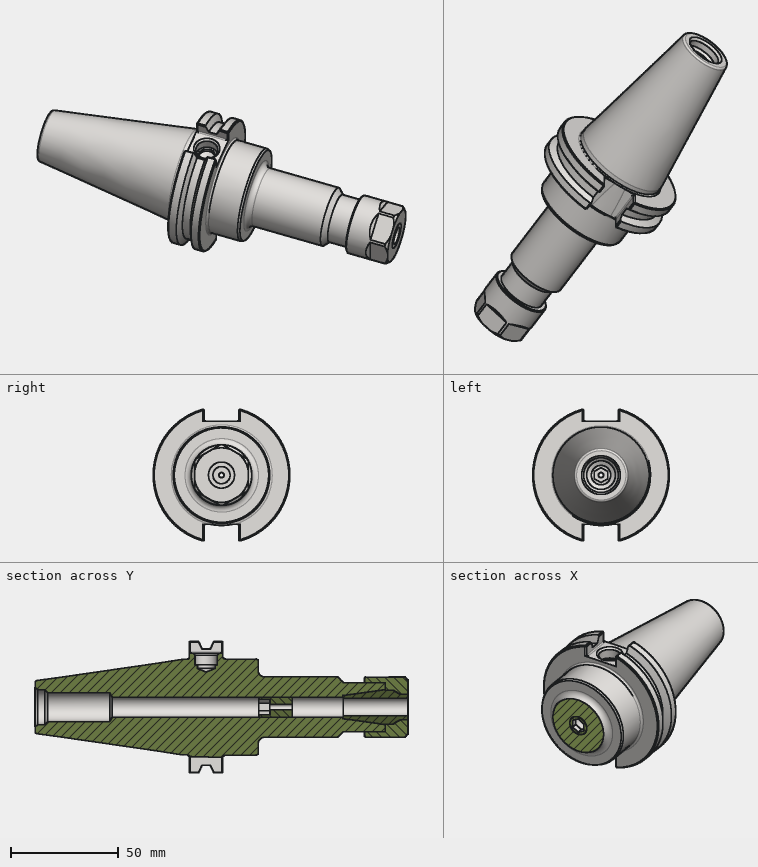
import cadquery as cq
import math

LENGTH = 172.9

GAUGE_DIAMETER = 44.6
GAUGE_X = 68.5
TAPER_RATIO = 7 / 24
SHANK_END_ROUND = 1.0
COLLAR_ROOT_FILLET = 0.7

FLANGE_X = 71.4
FLANGE_WIDTH = 15.7
FLANGE_DIAMETER = 63.5
FLANGE_BEVEL = 0.5
GROOVE_X = 79.4
GROOVE_FLOOR_DIAMETER = 56.4
GROOVE_FLOOR_WIDTH = 3.8
GROOVE_WALL_WIDTH = 1.7
SLOT_WIDTH = 16.0
SLOT_BEVEL = 0.6
SLOT_FLOOR_FILLET = 0.5
TOP_SLOT_HEIGHT = 25.0
BOTTOM_SLOT_HEIGHT = 22.8

CHIP_HOLE_DIAMETER = 10.2
CHIP_HOLE_MOUTH = 12.1
CHIP_HOLE_DEPTH = 5.5
CHIP_PILOT_DIAMETER = 8.0
CHIP_PILOT_DEPTH = 1.5
CHIP_POINT_ANGLE = 135.0

BOSS_DIAMETER = 44.8
BOSS_END_X = 103.5
BOSS_ROOT_FILLET = 1.0
BOSS_BEVEL_LENGTH = 1.0
BOSS_BEVEL_DEPTH = 0.5
BARREL_DIAMETER = 28.2
BARREL_FILLET = 3.0
BARREL_END_X = 140.4
NECK_DIAMETER = 23.0
NOSE_X = 162.5

MOUTH_DIAMETER = 18.0
THREAD_RELIEF_DIAMETER = 16.0
THREAD_DIAMETER = 13.3
MOUTH_DEPTH = 1.4
THREAD_RELIEF_DEPTH = 4.5
THREAD_START_DEPTH = 5.9
THREAD_DEPTH = 34.5
CORE_DIAMETER = 9.0
DRILL_POINT_ANGLE = 118.0

SCREW_X = 103.7
SCREW_LENGTH = 15.5
SCREW_HOLE_DIAMETER = 2.2
SOCKET_WIDTH = 6.0
SOCKET_DEPTH = 5.2

COLLET_BACK_X = 142.8
COLLET_BACK_DIAMETER = 10.5
COLLET_SEAT_DIAMETER = 16.0
COLLET_HEAD_LENGTH = 3.5
COLLET_NOSE_X = 169.5
COLLET_NOSE_DIAMETER = 12.1
COLLET_BORE = 8.0

NUT_X = 152.7
NUT_DIAMETER = 28.0
NUT_BACK_BEVEL = 0.5
NUT_FRONT_BEVEL = 1.4
HEX_WIDTH = 24.9
HEX_X = 164.3
HEX_SIDES = 6


def cone_length(wide, narrow, half_angle):
    """Length of a cone between two diameters, for an angle measured from its axis."""
    return (wide - narrow) / 2 / math.tan(math.radians(half_angle))


def turned(points):
    """Solid of revolution about X from (x, radius) points."""
    return cq.Workplane("XY").polyline(points).close().revolve(360, (0, 0, 0), (1, 0, 0))


def cylinder(x_start, x_end, diameter):
    """Solid cylinder along X."""
    return cq.Workplane("YZ", origin=(x_start, 0, 0)).circle(diameter / 2).extrude(x_end - x_start)


def make_core():
    """Taper, boss, barrel and neck as one turned shape, with its rounds drawn as arcs."""
    gauge_r = GAUGE_DIAMETER / 2
    taper_angle = math.atan(TAPER_RATIO / 2)
    small_r = gauge_r - GAUGE_X * math.tan(taper_angle)
    round_r = small_r + SHANK_END_ROUND * (math.tan(taper_angle) - 1 / math.cos(taper_angle))
    round_end_x = SHANK_END_ROUND * (1 - math.sin(taper_angle))
    round_end_r = round_r + SHANK_END_ROUND * math.cos(taper_angle)
    boss_r = BOSS_DIAMETER / 2
    barrel_r = BARREL_DIAMETER / 2
    neck_r = NECK_DIAMETER / 2
    flange_end = FLANGE_X + FLANGE_WIDTH
    profile = (
        cq.Workplane("XY")
        .lineTo(0, round_r)
        .radiusArc((round_end_x, round_end_r), SHANK_END_ROUND)
        .lineTo(GAUGE_X, gauge_r)
        .lineTo(FLANGE_X - COLLAR_ROOT_FILLET, gauge_r)
        .radiusArc((FLANGE_X, gauge_r + COLLAR_ROOT_FILLET), -COLLAR_ROOT_FILLET)
        .lineTo(flange_end, boss_r + BOSS_ROOT_FILLET)
        .radiusArc((flange_end + BOSS_ROOT_FILLET, boss_r), -BOSS_ROOT_FILLET)
        .lineTo(BOSS_END_X - BOSS_BEVEL_LENGTH, boss_r)
        .lineTo(BOSS_END_X, boss_r - BOSS_BEVEL_DEPTH)
        .lineTo(BOSS_END_X, barrel_r + BARREL_FILLET)
        .radiusArc((BOSS_END_X + BARREL_FILLET, barrel_r), -BARREL_FILLET)
        .lineTo(BARREL_END_X, barrel_r)
        .lineTo(BARREL_END_X + barrel_r - neck_r, neck_r)
        .lineTo(NOSE_X, neck_r)
        .lineTo(NOSE_X, 0)
        .close()
    )
    return profile.revolve(360, (0, 0, 0), (1, 0, 0))


def make_flange():
    """Flange disc with its groove and drive slots, the slot rims bevelled and floors filleted."""
    flange_r = FLANGE_DIAMETER / 2
    floor_r = GROOVE_FLOOR_DIAMETER / 2
    floor_half = GROOVE_FLOOR_WIDTH / 2
    rim_half = floor_half + GROOVE_WALL_WIDTH
    flange_end = FLANGE_X + FLANGE_WIDTH
    flange = turned([
        (FLANGE_X, 0),
        (FLANGE_X, flange_r - FLANGE_BEVEL),
        (FLANGE_X + FLANGE_BEVEL, flange_r),
        (GROOVE_X - rim_half, flange_r),
        (GROOVE_X - floor_half, floor_r),
        (GROOVE_X + floor_half, floor_r),
        (GROOVE_X + rim_half, flange_r),
        (flange_end - FLANGE_BEVEL, flange_r),
        (flange_end, flange_r - FLANGE_BEVEL),
        (flange_end, 0),
    ])
    for side, height in ((1, TOP_SLOT_HEIGHT), (-1, BOTTOM_SLOT_HEIGHT)):
        flange = flange.cut(make_slot(side * height, side * flange_r))
    flange = flange.newObject(slot_rim_edges(flange)).chamfer(SLOT_BEVEL)
    for height in (TOP_SLOT_HEIGHT, -BOTTOM_SLOT_HEIGHT):
        corners = cq.selectors.BoxSelector(
            (FLANGE_X, -SLOT_WIDTH, height - SLOT_FLOOR_FILLET),
            (flange_end, SLOT_WIDTH, height + SLOT_FLOOR_FILLET),
        )
        flange = flange.edges("|X").edges(corners).fillet(SLOT_FLOOR_FILLET)
    return flange


def slot_rim_edges(flange):
    """Edges of the slot walls on the flange faces and rims, without the floors and the groove."""
    rim_half = GROOVE_FLOOR_WIDTH / 2 + GROOVE_WALL_WIDTH
    rims = []
    for edge in flange.edges().vals():
        middle = edge.Center()
        on_wall = math.isclose(abs(middle.y), SLOT_WIDTH / 2)
        in_groove = abs(middle.x - GROOVE_X) < rim_half
        is_level = edge.BoundingBox().zlen < SLOT_FLOOR_FILLET
        on_floor = is_level and abs(middle.z) < TOP_SLOT_HEIGHT + SLOT_FLOOR_FILLET
        if on_wall and not on_floor and not in_groove:
            rims.append(edge)
    return rims


def make_slot(floor_z, rim_z):
    """Block that cuts a drive slot across the flange rim."""
    slot = cq.Workplane("XY").box(FLANGE_WIDTH, SLOT_WIDTH, abs(rim_z - floor_z))
    return slot.translate((FLANGE_X + FLANGE_WIDTH / 2, 0, (floor_z + rim_z) / 2))


def make_chip_hole():
    """Blind hole with a bevelled mouth, a step and a drill point, cut down from the top slot."""
    mouth_r = CHIP_HOLE_MOUTH / 2
    hole_r = CHIP_HOLE_DIAMETER / 2
    pilot_r = CHIP_PILOT_DIAMETER / 2
    hole_z = TOP_SLOT_HEIGHT - CHIP_HOLE_DEPTH
    pilot_z = hole_z - CHIP_PILOT_DEPTH
    point_z = pilot_z - cone_length(CHIP_PILOT_DIAMETER, 0, CHIP_POINT_ANGLE / 2)
    hole = (
        cq.Workplane("XZ")
        .polyline([
            (0, TOP_SLOT_HEIGHT),
            (mouth_r, TOP_SLOT_HEIGHT),
            (hole_r, TOP_SLOT_HEIGHT - (mouth_r - hole_r)),
            (hole_r, hole_z),
            (pilot_r, hole_z),
            (pilot_r, pilot_z),
            (0, point_z),
        ])
        .close()
        .revolve(360, (0, 0, 0), (0, 1, 0))
    )
    return hole.translate((GROOVE_X, 0, 0))


def make_axial_bore():
    """Drawbar thread bore, core bore and collet seat as one turned cutter."""
    thread_r = THREAD_DIAMETER / 2
    relief_r = THREAD_RELIEF_DIAMETER / 2
    core_r = CORE_DIAMETER / 2
    core_x = THREAD_DEPTH + cone_length(THREAD_DIAMETER, CORE_DIAMETER, DRILL_POINT_ANGLE / 2)
    return turned([
        (0, 0),
        (0, MOUTH_DIAMETER / 2),
        (MOUTH_DEPTH, relief_r),
        (THREAD_RELIEF_DEPTH, relief_r),
        (THREAD_START_DEPTH, thread_r),
        (THREAD_DEPTH, thread_r),
        (core_x, core_r),
        (COLLET_BACK_X, core_r),
        (COLLET_BACK_X, COLLET_BACK_DIAMETER / 2),
        (NOSE_X, COLLET_SEAT_DIAMETER / 2),
        (NOSE_X, 0),
    ])


def make_holder():
    """Holder body: turned core and flange with all bores cut."""
    body = make_core().union(make_flange())
    return body.cut(make_axial_bore()).cut(make_chip_hole())


def make_stop_screw():
    """Screw in the core bore, with a hexagon socket and a through hole."""
    screw = cylinder(SCREW_X, SCREW_X + SCREW_LENGTH, CORE_DIAMETER)
    corner_diameter = SOCKET_WIDTH / math.cos(math.pi / HEX_SIDES)
    socket = (
        cq.Workplane("YZ", origin=(SCREW_X, 0, 0))
        .transformed(rotate=(0, 0, 90))
        .polygon(HEX_SIDES, corner_diameter)
        .extrude(SOCKET_DEPTH)
    )
    hole = cylinder(SCREW_X, SCREW_X + SCREW_LENGTH, SCREW_HOLE_DIAMETER)
    return screw.cut(socket).cut(hole)


def make_collet_blank():
    """Collet without its bore: seat cone, head and nose cone up to the front of the nut."""
    seat_r = COLLET_SEAT_DIAMETER / 2
    nose_r = COLLET_NOSE_DIAMETER / 2
    return turned([
        (COLLET_BACK_X, 0),
        (COLLET_BACK_X, COLLET_BACK_DIAMETER / 2),
        (NOSE_X, seat_r),
        (NOSE_X + COLLET_HEAD_LENGTH, seat_r),
        (COLLET_NOSE_X, nose_r),
        (LENGTH, nose_r),
        (LENGTH, 0),
    ])


def make_collet():
    """Collet with its bore."""
    return make_collet_blank().cut(cylinder(COLLET_BACK_X, LENGTH, COLLET_BORE))


def make_hex_flat():
    """Wedge that cuts the flat on the -Y side of the nut, with a 45 degree run-out at its back."""
    flat_r = HEX_WIDTH / 2
    overshoot = NUT_DIAMETER / 2
    return (
        cq.Workplane("XY")
        .polyline([
            (HEX_X, -flat_r),
            (LENGTH, -flat_r),
            (LENGTH, -flat_r - overshoot),
            (HEX_X - overshoot, -flat_r - overshoot),
        ])
        .close()
        .extrude(NUT_DIAMETER / 2, both=True)
    )


def make_nut():
    """Clamping nut: bevelled ring with six flats, hollowed for the holder neck and the collet."""
    ring = cylinder(NUT_X, LENGTH, NUT_DIAMETER)
    ring = ring.faces("<X").chamfer(NUT_BACK_BEVEL)
    ring = ring.faces(">X").chamfer(NUT_FRONT_BEVEL)
    flat = make_hex_flat()
    for index in range(HEX_SIDES):
        ring = ring.cut(flat.rotate((0, 0, 0), (1, 0, 0), 360 / HEX_SIDES * index))
    return ring.cut(cylinder(NUT_X, NOSE_X, NECK_DIAMETER)).cut(make_collet_blank())


holder = make_holder()
stop_screw = make_stop_screw()
collet = make_collet()
nut = make_nut()

result = cq.Compound.makeCompound([holder.val(), stop_screw.val(), collet.val(), nut.val()])